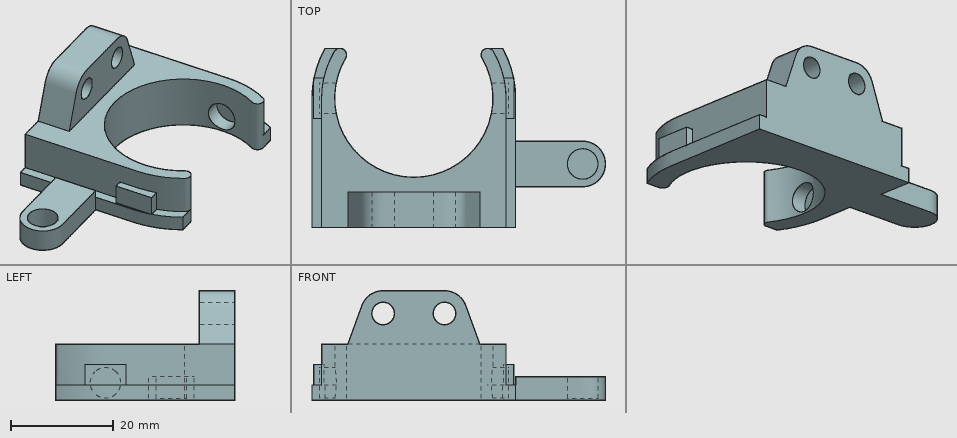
import cadquery as cq
import math

total_length = 57.5
depth = 35.15
total_height = 21.5

base_width = 39.9
base_height = 3.05
step_width = 1.9
block_height = 11.05
bore_y = 25.35
bore_radius = 15.45
base_radius = base_width / 2
block_radius = base_radius - step_width

tip_radius = (block_radius - bore_radius) / 2
tip_path_radius = bore_radius + tip_radius
tip_angle = math.asin((depth - tip_radius - bore_y) / tip_path_radius)

plate_depth = 7.0
plate_foot_width = 25.9
plate_slope = math.radians(70)
plate_corner_radius = 4.5
mount_hole_diameter = 4.35
mount_hole_spacing = 12.0

tab_length = 8.0
tab_bottom = base_height
tab_top = 7.1
tab_inset = 0.35
pocket_diameter = 6.0
pocket_z = 3.45
pocket_end_x = 18.5

lug_width = 8.95
lug_height = 4.65
lug_y = 12.5
lug_hole_diameter = 6.0
lug_hole_depth = 4.3


def polar(radius, angle):
    """Point at an angle from +X around the bore axis."""
    return radius * math.cos(angle), bore_y + radius * math.sin(angle)


def tip_point(angle):
    """Point on the rounded end of the +X arm."""
    x, y = polar(tip_path_radius, tip_angle)
    return x + tip_radius * math.cos(angle), y + tip_radius * math.sin(angle)


def flip(point):
    """Mirror a point to the other arm."""
    return -point[0], point[1]


def clip_body(radius, height, square_end):
    """Clip with a straight-sided body; a square end keeps the outer corner of each arm."""
    end_angle = math.asin((depth - bore_y) / radius) if square_end else tip_angle
    tip_start = math.pi / 2 if square_end else tip_angle
    tip_end = tip_angle + math.pi

    side_end = (radius, bore_y)
    outer_middle = polar(radius, end_angle / 2)
    outer_end = polar(radius, end_angle)
    tip_first = tip_point(tip_start)
    tip_middle = tip_point((tip_start + tip_end) / 2)
    tip_last = tip_point(tip_end)
    bore_bottom = (0, bore_y - bore_radius)

    outline = cq.Workplane("XY").moveTo(-radius, 0).lineTo(radius, 0).lineTo(*side_end)
    outline = outline.threePointArc(outer_middle, outer_end)
    if square_end:
        outline = outline.lineTo(*tip_first)
    outline = outline.threePointArc(tip_middle, tip_last)
    outline = outline.threePointArc(bore_bottom, flip(tip_last))
    outline = outline.threePointArc(flip(tip_middle), flip(tip_first))
    if square_end:
        outline = outline.lineTo(*flip(outer_end))
    outline = outline.threePointArc(flip(outer_middle), flip(side_end))
    return outline.close().extrude(height)


def front_plate():
    foot = plate_foot_width / 2
    top = foot - (total_height - block_height) / math.tan(plate_slope)
    outline = [
        (-foot, 0), (foot, 0), (foot, block_height),
        (top, total_height), (-top, total_height), (-foot, block_height),
    ]
    plate = cq.Workplane("XZ").polyline(outline).close().extrude(-plate_depth)
    plate = plate.edges("|Y and >Z").fillet(plate_corner_radius)
    hole_z = total_height - plate_corner_radius
    holes = (
        cq.Workplane("XZ")
        .pushPoints([(-mount_hole_spacing / 2, hole_z), (mount_hole_spacing / 2, hole_z)])
        .circle(mount_hole_diameter / 2)
        .extrude(-plate_depth)
    )
    return plate.cut(holes)


def tabs():
    width = base_width - 2 * tab_inset
    bars = cq.Workplane("XY", origin=(0, bore_y, tab_bottom)).rect(width, tab_length)
    bars = bars.extrude(tab_top - tab_bottom)
    bore = cq.Workplane("XY", origin=(0, bore_y, 0)).circle(tip_path_radius).extrude(tab_top)
    return bars.cut(bore)


def pockets():
    """Blind round pockets reaching from the bore into both arms."""
    return (
        cq.Workplane("YZ", origin=(-pocket_end_x, 0, 0))
        .center(bore_y, pocket_z)
        .circle(pocket_diameter / 2)
        .extrude(2 * pocket_end_x)
    )


def lug():
    eye_x = total_length - base_radius - lug_width / 2
    start_x = base_radius
    bar = cq.Workplane("XY").box(eye_x - start_x, lug_width, lug_height, centered=(False, True, False))
    bar = bar.translate((start_x, lug_y, 0))
    eye = cq.Workplane("XY").center(eye_x, lug_y).circle(lug_width / 2).extrude(lug_height)
    hole = (
        cq.Workplane("XY", origin=(eye_x, lug_y, lug_height))
        .circle(lug_hole_diameter / 2)
        .extrude(-lug_hole_depth)
    )
    return bar.union(eye).cut(hole)


base = clip_body(base_radius, base_height, square_end=True)
block = clip_body(block_radius, block_height, square_end=False)
result = base.union(block).union(front_plate()).union(tabs()).cut(pockets()).union(lug())